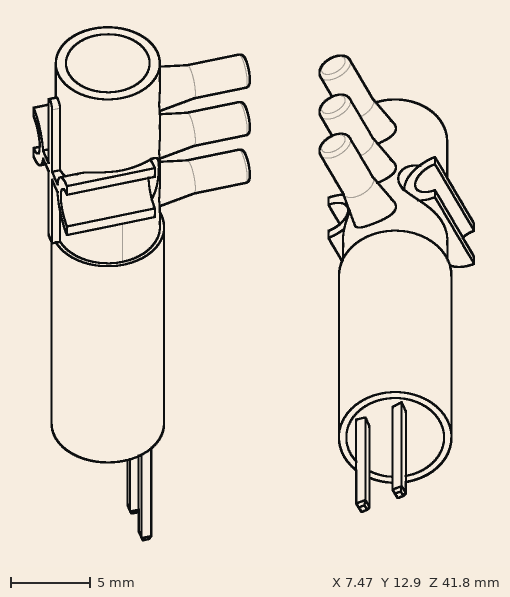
import cadquery as cq
import math

UPPER_RADIUS = 3.3
UPPER_LENGTH = 14.4
LOWER_RADIUS = 3.57
LOWER_LENGTH = 17.25
DOME_HEIGHT = 0.75
TOP_DOME_RADIUS = 2.65
BOTTOM_DOME_RADIUS = 3.1

FRONT_Y = -3.8
RIB_WIDTH = 0.84
RIB_HEIGHT = 12.15
WEB_THICKNESS = 0.7

CLIP_SPAN = 7.47
CLIP_X = CLIP_SPAN / 2
CLIP_Z = 5.94
CLIP_INNER_RADIUS = 1.39
CLIP_OUTER_RADIUS = 2.15
CLIP_BACK_Y = 2.0

NOZZLE_TIP_Y = 9.13
NOZZLE_RADIUS = 1.08
NOZZLE_TIP_FILLET = 0.25
NOZZLE_PITCH = 4.18
NOZZLE_COUNT = 3
LOWEST_NOZZLE_Z = 2.92
CONE_END_Y = 5.46
CONE_START_Y = 2.0
CONE_START_RADIUS = 1.6

PIN_WIDTH = 0.64
PIN_PITCH = 2.54
PIN_Y = 2.08
PIN_END_Z = -26.68
PIN_TAPER_LENGTH = 0.35
PIN_TIP_WIDTH = 0.4
PIN_EMBEDMENT = 0.75

SIDES = (-1, 1)


def dome_arc_point(base_radius):
    """Radius and height of a point on a dome's arc, at half the base radius."""
    sphere_radius = (base_radius**2 + DOME_HEIGHT**2) / (2 * DOME_HEIGHT)
    radius = base_radius / 2
    drop = sphere_radius - math.sqrt(sphere_radius**2 - radius**2)
    return radius, DOME_HEIGHT - drop


def make_body():
    """Revolve the stepped body together with its two shallow end domes."""
    top = UPPER_LENGTH
    bottom = -LOWER_LENGTH
    top_mid_radius, top_mid_height = dome_arc_point(TOP_DOME_RADIUS)
    bottom_mid_radius, bottom_mid_height = dome_arc_point(BOTTOM_DOME_RADIUS)
    return (
        cq.Workplane("XZ")
        .moveTo(0, bottom - DOME_HEIGHT)
        .threePointArc((bottom_mid_radius, bottom - bottom_mid_height), (BOTTOM_DOME_RADIUS, bottom))
        .lineTo(LOWER_RADIUS, bottom)
        .lineTo(LOWER_RADIUS, 0)
        .lineTo(UPPER_RADIUS, 0)
        .lineTo(UPPER_RADIUS, top)
        .lineTo(TOP_DOME_RADIUS, top)
        .threePointArc((top_mid_radius, top + top_mid_height), (0, top + DOME_HEIGHT))
        .close()
        .revolve(360, (0, 0), (0, 1))
    )


def rod_along_y(x, z, radius, start_y, end_y):
    """Cylinder parallel to Y between two Y positions."""
    return cq.Workplane("XZ", origin=(x, start_y, z)).circle(radius).extrude(start_y - end_y)


def make_rib():
    """Vertical front rib with a fully rounded top, rising from the shoulder."""
    straight_height = RIB_HEIGHT - RIB_WIDTH / 2
    return (
        cq.Workplane("XZ", origin=(0, FRONT_Y, 0))
        .moveTo(-RIB_WIDTH / 2, 0)
        .lineTo(RIB_WIDTH / 2, 0)
        .lineTo(RIB_WIDTH / 2, straight_height)
        .threePointArc((0, RIB_HEIGHT), (-RIB_WIDTH / 2, straight_height))
        .close()
        .extrude(FRONT_Y)
    )


def make_web():
    """Horizontal front web that joins the two clips across the body."""
    web_span = 2 * (CLIP_X - (CLIP_INNER_RADIUS + CLIP_OUTER_RADIUS) / 2)
    return cq.Workplane("XY").box(web_span, -FRONT_Y, WEB_THICKNESS).translate((0, FRONT_Y / 2, CLIP_Z))


def make_clip(side):
    """Half ring on one side of the body (side is -1 or 1), open outward."""
    outer = rod_along_y(side * CLIP_X, CLIP_Z, CLIP_OUTER_RADIUS, FRONT_Y, CLIP_BACK_Y)
    inner = rod_along_y(side * CLIP_X, CLIP_Z, CLIP_INNER_RADIUS, FRONT_Y, CLIP_BACK_Y)
    inner_half = (
        cq.Workplane("XY")
        .box(CLIP_SPAN, CLIP_BACK_Y - FRONT_Y, 2 * CLIP_OUTER_RADIUS)
        .translate((0, (FRONT_Y + CLIP_BACK_Y) / 2, CLIP_Z))
    )
    return outer.cut(inner).intersect(inner_half)


def make_groove(side):
    """Cylinder that hollows the body to a clip's outer radius, out through the rear."""
    return rod_along_y(side * CLIP_X, CLIP_Z, CLIP_OUTER_RADIUS, FRONT_Y, UPPER_RADIUS)


def make_nozzle(z):
    """Rear nozzle with a flared root and a rounded tip."""
    tube = rod_along_y(0, z, NOZZLE_RADIUS, 0, NOZZLE_TIP_Y).faces(">Y").edges().fillet(NOZZLE_TIP_FILLET)
    flare = (
        cq.Workplane("XZ", origin=(0, CONE_START_Y, z))
        .circle(CONE_START_RADIUS)
        .workplane(offset=CONE_START_Y - CONE_END_Y)
        .circle(NOZZLE_RADIUS)
        .loft()
    )
    return tube.union(flare)


def make_pin(x):
    """Square pin starting inside the lower body and tapering at its tip."""
    taper_z = PIN_END_Z + PIN_TAPER_LENGTH
    shank = (
        cq.Workplane("XY", origin=(x, PIN_Y, taper_z))
        .rect(PIN_WIDTH, PIN_WIDTH)
        .extrude(PIN_EMBEDMENT - LOWER_LENGTH - taper_z)
    )
    tip = (
        cq.Workplane("XY", origin=(x, PIN_Y, PIN_END_Z))
        .rect(PIN_TIP_WIDTH, PIN_TIP_WIDTH)
        .workplane(offset=PIN_TAPER_LENGTH)
        .rect(PIN_WIDTH, PIN_WIDTH)
        .loft()
    )
    return shank.union(tip)


result = make_body().union(make_rib()).union(make_web())

for side in SIDES:
    result = result.cut(make_groove(side)).union(make_clip(side))

for index in range(NOZZLE_COUNT):
    result = result.union(make_nozzle(LOWEST_NOZZLE_Z + index * NOZZLE_PITCH))

for side in SIDES:
    result = result.union(make_pin(side * PIN_PITCH / 2))